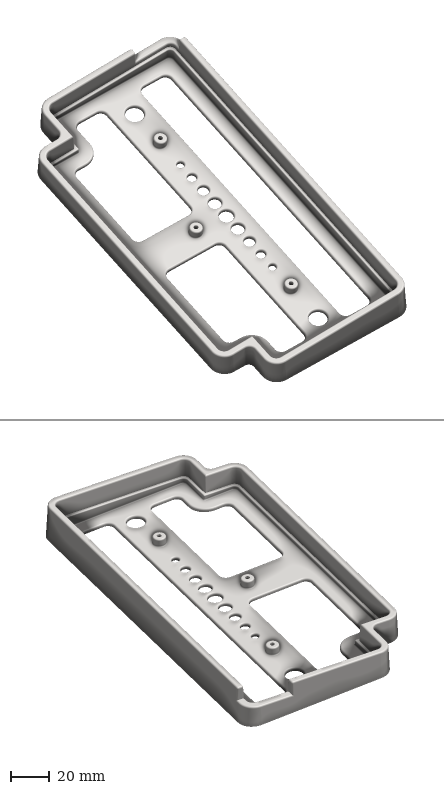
import cadquery as cq
import math

LENGTH = 208.8
DEPTH = 108.8
HEIGHT = 19.8
DRAFT_ANGLE = 3.0
FLOOR_ANGLE = 3.0
FLOOR_THICKNESS = 2.0

PANEL_CENTRE_X = 2.0
NOSE_HALF_WIDTH = 82.9
SHOULDER_Y = 18.8
CORNER_RADIUS = 9.0
STEP_RADIUS = 3.0

RIM_INSET = 5.5
LEDGE_INSET = 7.0
LEDGE_Z = 9.4
INNER_STEP_RADIUS = 0.6
WELL_CORNER_RADIUS = 2.7
RIM_ROUND = 1.0
LEDGE_ROUND = 0.6
FLOOR_ROUND = 0.6

NOTCH_X = -93.3
NOTCH_Y = 81.0
NOTCH_Z = 12.1

OPENING_MARGIN = 14.72
OPENING_RADIUS = 4.0
OPENING_ROUND = 1.0
SLOT_FRONT_Y = 75.2
SLOT_REAR_Y = 93.7
WINDOW_FRONT_Y = 15.5
WINDOW_SHOULDER_Y = 34.0
WINDOW_REAR_Y = 52.5
WINDOW_INNER_OFFSET = 11.5
WINDOW_STEP_OFFSET = 67.6
WINDOW_STEP_RADIUS = 10.0

HOLE_ROW_Y = 64.3
HOLE_PITCH = 10.0
HOLE_DIAMETERS = (8.0, 7.0, 6.0, 5.0, 4.0)
END_HOLE_OFFSET = 80.0
END_HOLE_DIAMETER = 10.0

BOSS_HEIGHT = 4.5
BOSS_DIAMETER = 7.0
BOSS_BORE = 2.5
BOSS_ROUND = 0.8
BOSS_FOOT_ROUND = 0.6
SIDE_BOSS_OFFSET = 57.0
SIDE_BOSS_Y = 63.7
CENTRE_BOSS_Y = 44.7
RECESS_DIAMETER = 8.0
RECESS_DEPTH = 1.0

OVERCUT = 41.8
TOLERANCE = 0.02
FLOOR_TILT = math.tan(math.radians(FLOOR_ANGLE))
DRAFT_TILT = math.tan(math.radians(DRAFT_ANGLE))

FRONT_FLARE = DEPTH * FLOOR_TILT * DRAFT_TILT
SIDE_FLARE = CORNER_RADIUS * FLOOR_TILT * DRAFT_TILT

UNDERSIDE = cq.Plane(
    origin=(0, 0, DEPTH * FLOOR_TILT),
    xDir=(1, 0, 0),
    normal=(0, math.sin(math.radians(FLOOR_ANGLE)), math.cos(math.radians(FLOOR_ANGLE))),
)
FLOOR = cq.Plane(
    origin=UNDERSIDE.toWorldCoords((0, 0, FLOOR_THICKNESS)),
    xDir=UNDERSIDE.xDir,
    normal=UNDERSIDE.zDir,
)


def rounded_polygon(points, radii):
    """Closed wire through points with right-angled corners rounded by radii."""
    tangents = []
    count = len(points)
    for index, (corner, radius) in enumerate(zip(points, radii)):
        corner = cq.Vector(*corner)
        before = (cq.Vector(*points[index - 1]) - corner).normalized()
        after = (cq.Vector(*points[(index + 1) % count]) - corner).normalized()
        middle = corner + (before + after) * radius * (1 - math.sqrt(0.5))
        tangents.append((corner + before * radius, middle, corner + after * radius))
    edges = []
    for index, (start, middle, end) in enumerate(tangents):
        edges.append(cq.Edge.makeThreePointArc(start, middle, end))
        edges.append(cq.Edge.makeLine(end, tangents[(index + 1) % count][0]))
    return cq.Wire.assembleEdges(edges)


def tray_outline(inset, corner_radius, step_radius):
    """Stepped tray outline at the base, moved inwards by inset."""
    right = LENGTH / 2 + SIDE_FLARE - inset
    nose_left = PANEL_CENTRE_X - NOSE_HALF_WIDTH + inset
    nose_right = PANEL_CENTRE_X + NOSE_HALF_WIDTH - inset
    front = inset - FRONT_FLARE
    shoulder = SHOULDER_Y + inset
    rear = DEPTH - inset
    points = [
        (-right, rear), (-right, shoulder), (nose_left, shoulder), (nose_left, front),
        (nose_right, front), (nose_right, shoulder), (right, shoulder), (right, rear),
    ]
    half_radii = [corner_radius, corner_radius, step_radius, corner_radius]
    return rounded_polygon(points, half_radii + half_radii[::-1])


def extruded(wire, height, taper=0.0):
    """Solid raised from a base outline, narrowing by the taper angle."""
    return cq.Workplane(cq.Solid.extrudeLinear(wire, [], cq.Vector(0, 0, height), taper))


def space_below(plane):
    """Large block filling everything under a floor-parallel plane."""
    return cq.Workplane(plane).rect(2 * LENGTH, 4 * DEPTH).extrude(-OVERCUT)


class RimEdges(cq.Selector):
    """Edges around the wall top, the notch bottom and the wall ends beside the notch."""

    def filter(self, objectList):
        return [edge for edge in objectList if self.on_top(edge) or self.on_notch(edge)]

    def on_top(self, edge):
        return edge.BoundingBox().zmin > HEIGHT - TOLERANCE

    def on_notch(self, edge):
        """True for the notch edges, except the two where its bottom meets the wall ends."""
        box = edge.BoundingBox()
        inside = box.xmax < NOTCH_X + TOLERANCE and box.ymin > NOTCH_Y - TOLERANCE
        inside = inside and box.zmin > NOTCH_Z - TOLERANCE
        beside_wall_end = box.xmin > NOTCH_X - TOLERANCE or box.ymax < NOTCH_Y + TOLERANCE
        return inside and not (beside_wall_end and box.zmax < NOTCH_Z + TOLERANCE)


def make_shell():
    """Drafted wall with its ledge, rear corner notch and sloping floor."""
    shell = extruded(tray_outline(0, CORNER_RADIUS, STEP_RADIUS), HEIGHT, DRAFT_ANGLE)
    rim_outline = tray_outline(RIM_INSET, CORNER_RADIUS - RIM_INSET, INNER_STEP_RADIUS)
    shell = shell.cut(extruded(rim_outline, OVERCUT, -DRAFT_ANGLE).translate((0, 0, LEDGE_Z)))
    notch = cq.Workplane("XY").box(OVERCUT, OVERCUT, OVERCUT, centered=False)
    shell = shell.cut(notch.translate((NOTCH_X - OVERCUT, NOTCH_Y, NOTCH_Z)))
    shell = shell.edges(RimEdges()).fillet(RIM_ROUND)
    well_outline = tray_outline(LEDGE_INSET, WELL_CORNER_RADIUS, INNER_STEP_RADIUS)
    well = extruded(well_outline, OVERCUT).cut(space_below(FLOOR))
    well = well.faces("<Z").edges().fillet(FLOOR_ROUND)
    shell = shell.cut(well)
    ledge_height = cq.selectors.BoxSelector(
        (-LENGTH, -DEPTH, LEDGE_Z - TOLERANCE), (LENGTH, 2 * DEPTH, LEDGE_Z + TOLERANCE), boundingbox=True
    )
    ledge = shell.faces(ledge_height).val()
    shell = shell.newObject(ledge.innerWires()[0].Edges()).fillet(LEDGE_ROUND)
    return shell.cut(space_below(UNDERSIDE))


def slot_outline():
    """Long opening along the rear of the floor."""
    right = LENGTH / 2 - OPENING_MARGIN
    points = [(-right, SLOT_REAR_Y), (-right, SLOT_FRONT_Y), (right, SLOT_FRONT_Y), (right, SLOT_REAR_Y)]
    return rounded_polygon(points, [OPENING_RADIUS] * len(points))


def window_outline(side):
    """Opening that follows the stepped front corner; side is -1 for left and 1 for right."""
    outer = side * (LENGTH / 2 - OPENING_MARGIN)
    step = PANEL_CENTRE_X + side * WINDOW_STEP_OFFSET
    inner = PANEL_CENTRE_X + side * WINDOW_INNER_OFFSET
    points = [
        (step, WINDOW_SHOULDER_Y), (outer, WINDOW_SHOULDER_Y), (outer, WINDOW_REAR_Y),
        (inner, WINDOW_REAR_Y), (inner, WINDOW_FRONT_Y), (step, WINDOW_FRONT_Y),
    ]
    radii = [WINDOW_STEP_RADIUS] + [OPENING_RADIUS] * (len(points) - 1)
    return rounded_polygon(points, radii)


def hole_row():
    """Pairs of (x, diameter) for the round holes across the middle of the floor."""
    offsets = [(HOLE_PITCH * index, diameter) for index, diameter in enumerate(HOLE_DIAMETERS)]
    offsets.append((END_HOLE_OFFSET, END_HOLE_DIAMETER))
    right = [(PANEL_CENTRE_X + offset, diameter) for offset, diameter in offsets]
    left = [(PANEL_CENTRE_X - offset, diameter) for offset, diameter in offsets[1:]]
    return left + right


def cut_openings(tray):
    """Cut every opening square to the floor and round its upper edge."""
    for outline in (slot_outline(), window_outline(-1), window_outline(1)):
        cutter = extruded(outline, OVERCUT).translate((0, 0, -OVERCUT / 2))
        tray = tray.cut(cq.Workplane(cutter.val().moved(cq.Location(FLOOR))))
    for x, diameter in hole_row():
        cutter = cq.Workplane(FLOOR).center(x, HOLE_ROW_Y).circle(diameter / 2).extrude(OVERCUT, both=True)
        tray = tray.cut(cutter)
    floor_faces = tray.faces(cq.selectors.ParallelDirSelector(FLOOR.zDir))
    floor_face = floor_faces.faces(cq.selectors.DirectionMinMaxSelector(FLOOR.zDir)).val()
    rims = [edge for wire in floor_face.innerWires() for edge in wire.Edges()]
    return tray.newObject(rims).fillet(OPENING_ROUND)


def add_boss(tray, x, y):
    """Add a screw boss with a flared foot, a bore and a screw-head recess in the underside."""
    radius = BOSS_DIAMETER / 2
    boss = (
        cq.Workplane("XZ")
        .lineTo(radius + BOSS_FOOT_ROUND, 0)
        .radiusArc((radius, BOSS_FOOT_ROUND), BOSS_FOOT_ROUND)
        .lineTo(radius, BOSS_HEIGHT - BOSS_ROUND)
        .radiusArc((radius - BOSS_ROUND, BOSS_HEIGHT), -BOSS_ROUND)
        .lineTo(0, BOSS_HEIGHT)
        .close()
        .revolve(360, (0, 0, 0), (0, 1, 0))
        .translate((x, y, 0))
    )
    bore = cq.Workplane("XY").center(x, y).circle(BOSS_BORE / 2).extrude(OVERCUT, both=True)
    recess = cq.Workplane(UNDERSIDE).center(x, y).circle(RECESS_DIAMETER / 2).extrude(RECESS_DEPTH)
    tray = tray.union(cq.Workplane(boss.val().moved(cq.Location(FLOOR))))
    return tray.cut(cq.Workplane(bore.val().moved(cq.Location(FLOOR)))).cut(recess)


result = cut_openings(make_shell())
for boss_x, boss_y in (
    (PANEL_CENTRE_X - SIDE_BOSS_OFFSET, SIDE_BOSS_Y),
    (PANEL_CENTRE_X, CENTRE_BOSS_Y),
    (PANEL_CENTRE_X + SIDE_BOSS_OFFSET, SIDE_BOSS_Y),
):
    result = add_boss(result, boss_x, boss_y)